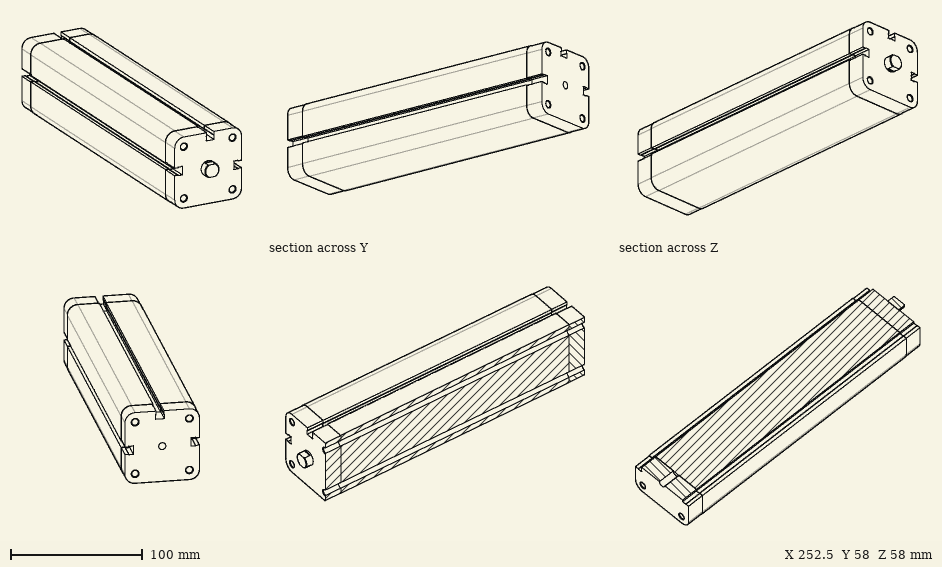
import cadquery as cq

TOTAL_LENGTH = 252.5
CAP_LENGTH = 14.6
ROD_LENGTH = 6.5
BARREL_LENGTH = TOTAL_LENGTH - ROD_LENGTH - 2 * CAP_LENGTH

X_REAR = -TOTAL_LENGTH / 2
X_BARREL = X_REAR + CAP_LENGTH
X_FRONT_CAP = X_BARREL + BARREL_LENGTH
X_ROD = X_FRONT_CAP + CAP_LENGTH

BARREL_WIDTH = 58.0
CAP_WIDTH = 57.5

BOLT_OFFSET = 21.0
BOLT_DIAMETER = 5.0
BOLT_CHAMFER = 0.5

SLOT_SHIFT = 1.8
SLOT_DEPTH = 6.8
SLOT_LIP = 3.3
CAP_SLOT_OPENING = 6.0
CAP_SLOT_INNER = 6.8
BARREL_SLOT_OPENING = 5.3
BARREL_SLOT_INNER = 6.3
SLOT_ANGLES = (0, 90, -90)

PORT_DIAMETER = 5.5

ROD_DIAMETER = 12.0
ROD_CHAMFER = 0.5
FLAT_WIDTH = 10.0
FLAT_START = 1.3


def slot_cutter(x_start, length, opening, inner_width):
    """T-shaped bar for the slot in the top side; it sticks out above the side."""
    top = BARREL_WIDTH / 2
    floor = top - SLOT_DEPTH
    inner_height = SLOT_DEPTH - SLOT_LIP
    neck = cq.Workplane("XY").box(length, opening, 2 * SLOT_DEPTH, centered=(False, True, False))
    pocket = cq.Workplane("XY").box(length, inner_width, inner_height, centered=(False, True, False))
    return neck.union(pocket).translate((x_start, SLOT_SHIFT, floor))


def profile_length(x_start, length, width, slot_opening, slot_inner):
    """Rounded square bar along X with four bolt holes and three T-slots."""
    body = (
        cq.Workplane("YZ", origin=(x_start, 0, 0))
        .rect(width, width)
        .extrude(length)
        .edges("|X")
        .fillet(width / 2 - BOLT_OFFSET)
    )
    bolt_holes = (
        cq.Workplane("YZ", origin=(x_start, 0, 0))
        .rect(2 * BOLT_OFFSET, 2 * BOLT_OFFSET, forConstruction=True)
        .vertices()
        .circle(BOLT_DIAMETER / 2)
        .extrude(length)
    )
    body = body.cut(bolt_holes)
    slot = slot_cutter(x_start, length, slot_opening, slot_inner)
    for angle in SLOT_ANGLES:
        body = body.cut(slot.rotate((0, 0, 0), (1, 0, 0), angle))
    return body


def make_barrel():
    return profile_length(X_BARREL, BARREL_LENGTH, BARREL_WIDTH, BARREL_SLOT_OPENING, BARREL_SLOT_INNER)


def bolt_countersinks(x_face, inward):
    """Cones that chamfer the four bolt holes at a cap's outer face."""
    large = BOLT_DIAMETER / 2 + BOLT_CHAMFER
    small = BOLT_DIAMETER / 2
    direction = cq.Vector(inward, 0, 0)
    cones = cq.Workplane("XY")
    for y in (-BOLT_OFFSET, BOLT_OFFSET):
        for z in (-BOLT_OFFSET, BOLT_OFFSET):
            cones.add(cq.Solid.makeCone(large, small, BOLT_CHAMFER, cq.Vector(x_face, y, z), direction))
    return cones.combine()


def make_cap(x_start, x_face, inward):
    cap = profile_length(x_start, CAP_LENGTH, CAP_WIDTH, CAP_SLOT_OPENING, CAP_SLOT_INNER)
    return cap.cut(bolt_countersinks(x_face, inward))


def make_rear_cap():
    """Cap with the port running through it to the end of the barrel."""
    port = cq.Workplane("YZ", origin=(X_REAR, 0, 0)).circle(PORT_DIAMETER / 2).extrude(CAP_LENGTH)
    return make_cap(X_REAR, X_REAR, 1).cut(port)


def make_rod():
    """Round rod end standing on the front cap, chamfered, with two flats."""
    rod = (
        cq.Workplane("YZ", origin=(X_ROD, 0, 0))
        .circle(ROD_DIAMETER / 2)
        .extrude(ROD_LENGTH)
        .faces(">X")
        .chamfer(ROD_CHAMFER)
    )
    for side in (1, -1):
        flat = (
            cq.Workplane("XY")
            .box(ROD_LENGTH, ROD_DIAMETER, ROD_DIAMETER, centered=(False, True, True))
            .translate((X_ROD + FLAT_START, 0, side * (FLAT_WIDTH + ROD_DIAMETER) / 2))
        )
        rod = rod.cut(flat)
    return rod


barrel = make_barrel()
rear_cap = make_rear_cap()
front_cap = make_cap(X_FRONT_CAP, X_ROD, -1)
rod = make_rod()

result = cq.Compound.makeCompound([barrel.val(), rear_cap.val(), front_cap.val(), rod.val()])